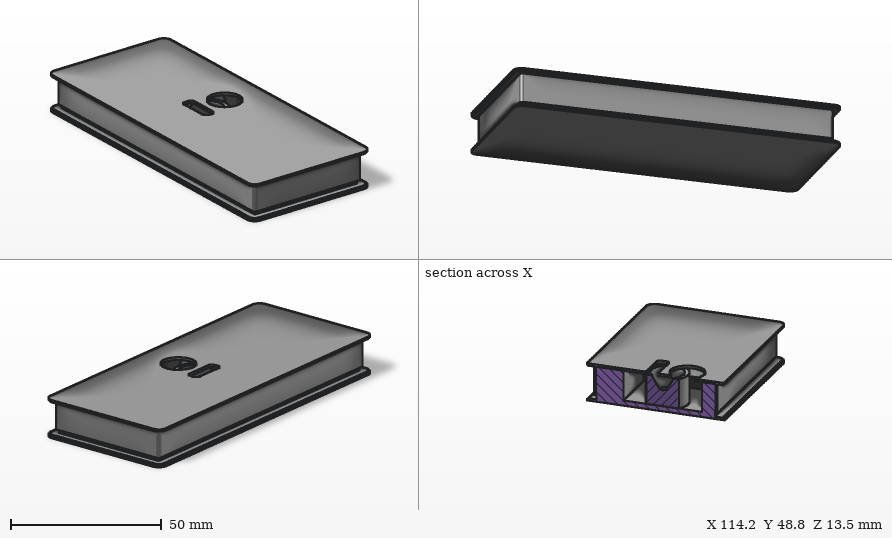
import cadquery as cq

LENGTH = 114.2
WIDTH = 48.8
HEIGHT = 13.5

PLATE_THICKNESS = 1.0
PLATE_CHAMFER = PLATE_THICKNESS / 2
PLATE_CORNER_RADIUS = 3.0

SKIRT_INSET = 2.3
SKIRT_WALL = 1.0
SKIRT_BOTTOM = 2.4
SKIRT_CORNER_RADIUS = SKIRT_WALL
CORE_INSET = SKIRT_INSET + SKIRT_WALL
CORE_TOP = HEIGHT - PLATE_THICKNESS

FEATURE_X = -4.3
HOLE_Y = 9.6
HOLE_RADIUS = 5.9
SLOT_Y = -1.3
SLOT_LENGTH = 13.0
SLOT_WIDTH = 4.2
SLOT_CORNER_RADIUS = 1.3

CUP_Y = 2.5
CUP_RADIUS = 7.3
CAVITY_TOP_RADIUS = 5.7
CAVITY_FLOOR_RADIUS = 3.8
CAVITY_DEPTH = 6.9

CHAMBER_SIZE = 27.9
CHAMBER_FLOOR = 2 * PLATE_THICKNESS
SHELF_Z = 8.3
MOUTH_WIDTH = 17.6
RECESS_RADIUS = CUP_RADIUS


def rounded_block(inset, bottom, top, corner_radius):
    """Upright block inset from the envelope on all four sides."""
    return (
        cq.Workplane("XY", origin=(0, 0, bottom))
        .rect(LENGTH - 2 * inset, WIDTH - 2 * inset)
        .extrude(top - bottom)
        .edges("|Z")
        .fillet(corner_radius)
    )


def cover_plate(bottom, inner_rim):
    """Cover plate whose inner rim (selected by a face selector) is chamfered."""
    plate = rounded_block(0, bottom, bottom + PLATE_THICKNESS, PLATE_CORNER_RADIUS)
    return plate.faces(inner_rim).edges().chamfer(PLATE_CHAMFER)


def sharp_block(inset, bottom, top):
    """Upright square-cornered block inset from the envelope on all four sides."""
    return cq.Workplane("XY", origin=(0, 0, bottom)).box(
        LENGTH - 2 * inset, WIDTH - 2 * inset, top - bottom, centered=(True, True, False)
    )


def make_lid():
    """Top plate with a skirt below it, a round hole and a slot."""
    skirt = rounded_block(SKIRT_INSET, SKIRT_BOTTOM, CORE_TOP, SKIRT_CORNER_RADIUS)
    skirt = skirt.cut(sharp_block(CORE_INSET, SKIRT_BOTTOM, CORE_TOP))
    hole = (
        cq.Workplane("XY", origin=(FEATURE_X, HOLE_Y, CORE_TOP))
        .circle(HOLE_RADIUS)
        .extrude(PLATE_THICKNESS)
    )
    slot = (
        cq.Workplane("XY", origin=(FEATURE_X, SLOT_Y, CORE_TOP))
        .rect(SLOT_LENGTH, SLOT_WIDTH)
        .extrude(PLATE_THICKNESS)
        .edges("|Z")
        .fillet(SLOT_CORNER_RADIUS)
    )
    return cover_plate(CORE_TOP, "<Z").union(skirt).cut(hole).cut(slot)


def make_chamber():
    """Space cut out of the core around the cup."""
    room = cq.Workplane("XY", origin=(FEATURE_X, CUP_Y, CHAMBER_FLOOR)).box(
        CHAMBER_SIZE, CHAMBER_SIZE, SHELF_Z - CHAMBER_FLOOR, centered=(True, True, False)
    )
    mouth_rise = CORE_TOP - SHELF_Z
    half_mouth = MOUTH_WIDTH / 2
    mouth = (
        cq.Workplane("XZ", origin=(FEATURE_X, CUP_Y, SHELF_Z))
        .polyline([
            (-half_mouth, 0),
            (half_mouth, 0),
            (half_mouth + mouth_rise, mouth_rise),
            (-half_mouth - mouth_rise, mouth_rise),
        ])
        .close()
        .extrude(CHAMBER_SIZE / 2, both=True)
    )
    recess = (
        cq.Workplane("XY", origin=(FEATURE_X, HOLE_Y, SHELF_Z))
        .circle(RECESS_RADIUS)
        .extrude(mouth_rise)
    )
    return room.union(mouth).union(recess)


def make_base():
    """Bottom plate with a core that fills the skirt and holds the chamber."""
    core = sharp_block(CORE_INSET, PLATE_THICKNESS, CORE_TOP)
    return cover_plate(0, ">Z").union(core).cut(make_chamber())


def make_cup():
    """Round cup standing on the chamber floor and reaching up to the lid."""
    cavity_floor = CORE_TOP - CAVITY_DEPTH
    return (
        cq.Workplane("XZ", origin=(FEATURE_X, CUP_Y, 0))
        .polyline([
            (0, CHAMBER_FLOOR),
            (CUP_RADIUS, CHAMBER_FLOOR),
            (CUP_RADIUS, CORE_TOP),
            (CAVITY_TOP_RADIUS, CORE_TOP),
            (CAVITY_FLOOR_RADIUS, cavity_floor),
            (0, cavity_floor),
        ])
        .close()
        .revolve(360, (0, 0), (0, 1))
    )


lid = make_lid()
base = make_base()
cup = make_cup()

result = cq.Compound.makeCompound([lid.val(), base.val(), cup.val()])